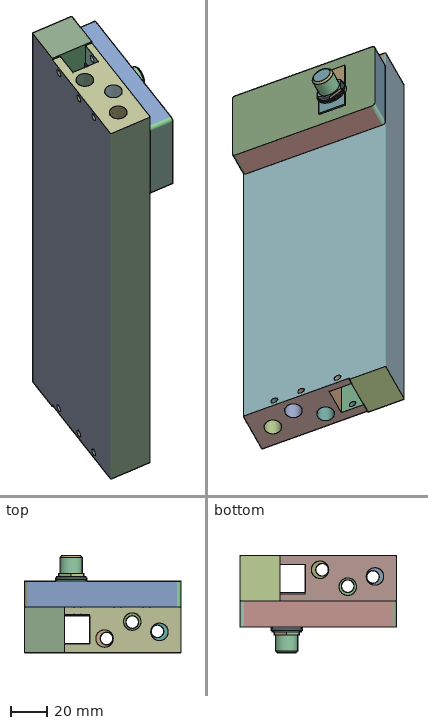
import cadquery as cq

LENGTH = 282.0
WIDTH = 86.0
BODY_DEPTH = 25.0
BODY_EDGE_RADIUS = 0.42

STRIP_WIDTH = 22.0
END_STEP = 1.0
STEPPED_LENGTH = LENGTH - 2 * END_STEP

CHANNEL_WIDTH = 13.8
CHANNEL_FRONT = 5.0
CHANNEL_DEPTH = 15.2
CHANNEL_MOUTH_DEPTH = 16.0
CHANNEL_MOUTH_LENGTH = 14.0

PORTS = [
    (44.0, 8.0, 45.0, 8.0),
    (59.2, 17.2, 59.2, 17.0),
    (74.2, 11.5, 73.0, 11.8),
]
PORT_DIAMETER = 9.5
PORT_DEPTH = 14.0
BORE_DIAMETER = 6.8

CROSS_HOLE_X = [29.0, 51.0, 67.0]
CROSS_HOLE_DIAMETER = 4.0
CROSS_HOLE_END_DISTANCE = 5.4

BOX_DEPTH = 14.5
BOX_HEIGHT = 53.3
BOX_TOP_GAP = 10.7
BOX_CORNER_RADIUS = 2.0
BOX_BACK = BODY_DEPTH + BOX_DEPTH

PLATE_WIDTH = 15.8
PLATE_HEIGHT = 35.0
PLATE_THICKNESS = 0.8
PLATE_TOP_GAP = 19.7

CONNECTOR_X = 25.7
CONNECTOR_Z = LENGTH / 2 - 40.0
FLANGE_DIAMETER = 17.2
FLANGE_THICKNESS = 1.7
COLLAR_DIAMETER = 16.4
COLLAR_THICKNESS = 0.8
NUT_CORNER_DIAMETER = 16.0
NUT_THICKNESS = 1.7
PLUG_DIAMETER = 12.5
PLUG_LENGTH = 10.0
PLUG_CHAMFER = 1.0


def block(x, y, z_center, width, depth, height):
    """Box with its left front edge at (x, y), centred on z_center."""
    return (
        cq.Workplane("XY")
        .box(width, depth, height, centered=(False, False, True))
        .translate((x, y, z_center))
    )


def facing_back(x, y, z):
    """Workplane at (x, y, z) whose normal points to +Y."""
    plane = cq.Plane(origin=(x, y, z), xDir=(0, 0, 1), normal=(0, 1, 0))
    return cq.Workplane(plane)


def make_body():
    strip = block(0, 0, 0, STRIP_WIDTH, BODY_DEPTH, LENGTH)
    main = block(STRIP_WIDTH, 0, 0, WIDTH - STRIP_WIDTH, BODY_DEPTH, STEPPED_LENGTH)
    main = main.edges("|Z and >X").fillet(BODY_EDGE_RADIUS)
    strip = strip.edges("|Z and <X").fillet(BODY_EDGE_RADIUS)
    return main.union(strip)


def cut_channel(body):
    body = body.cut(block(STRIP_WIDTH, CHANNEL_FRONT, 0, CHANNEL_WIDTH, CHANNEL_DEPTH, LENGTH))
    mouth_z = (STEPPED_LENGTH - CHANNEL_MOUTH_LENGTH) / 2
    for z in (-mouth_z, mouth_z):
        mouth = block(
            STRIP_WIDTH, CHANNEL_FRONT, z, CHANNEL_WIDTH, CHANNEL_MOUTH_DEPTH, CHANNEL_MOUTH_LENGTH
        )
        body = body.cut(mouth)
    return body


def cut_ports(body):
    end_z = STEPPED_LENGTH / 2
    for port_x, port_y, bore_x, bore_y in PORTS:
        bore = cq.Workplane("XY").center(bore_x, bore_y).circle(BORE_DIAMETER / 2)
        body = body.cut(bore.extrude(end_z, both=True))
        for bottom_z in (-end_z, end_z - PORT_DEPTH):
            port = cq.Workplane("XY", origin=(port_x, port_y, bottom_z))
            body = body.cut(port.circle(PORT_DIAMETER / 2).extrude(PORT_DEPTH))
    return body


def cut_cross_holes(body):
    hole_z = LENGTH / 2 - CROSS_HOLE_END_DISTANCE
    for x in CROSS_HOLE_X:
        for z in (-hole_z, hole_z):
            hole = facing_back(x, 0, z).circle(CROSS_HOLE_DIAMETER / 2)
            body = body.cut(hole.extrude(BODY_DEPTH))
    return body


def make_control_box():
    center_z = LENGTH / 2 - BOX_TOP_GAP - BOX_HEIGHT / 2
    box = block(0, BODY_DEPTH, center_z, WIDTH, BOX_DEPTH, BOX_HEIGHT)
    return box.edges("|Y").fillet(BOX_CORNER_RADIUS)


def make_plate():
    center_z = LENGTH / 2 - PLATE_TOP_GAP - PLATE_HEIGHT / 2
    left_x = CONNECTOR_X - PLATE_WIDTH / 2
    return block(left_x, BOX_BACK, center_z, PLATE_WIDTH, PLATE_THICKNESS, PLATE_HEIGHT)


def make_connector():
    collar_y = BOX_BACK + FLANGE_THICKNESS
    nut_y = collar_y + COLLAR_THICKNESS
    plug_y = nut_y + NUT_THICKNESS

    def stage(y):
        return facing_back(CONNECTOR_X, y, CONNECTOR_Z)

    flange = stage(BOX_BACK).circle(FLANGE_DIAMETER / 2).extrude(FLANGE_THICKNESS)
    collar = stage(collar_y).circle(COLLAR_DIAMETER / 2).extrude(COLLAR_THICKNESS)
    nut = stage(nut_y).polygon(6, NUT_CORNER_DIAMETER).extrude(NUT_THICKNESS)
    plug = stage(plug_y).circle(PLUG_DIAMETER / 2).extrude(PLUG_LENGTH)
    plug = plug.faces(">Y").chamfer(PLUG_CHAMFER)
    return flange.union(collar).union(nut).union(plug)


body = cut_cross_holes(cut_ports(cut_channel(make_body())))
result = body.union(make_control_box()).union(make_plate()).union(make_connector())